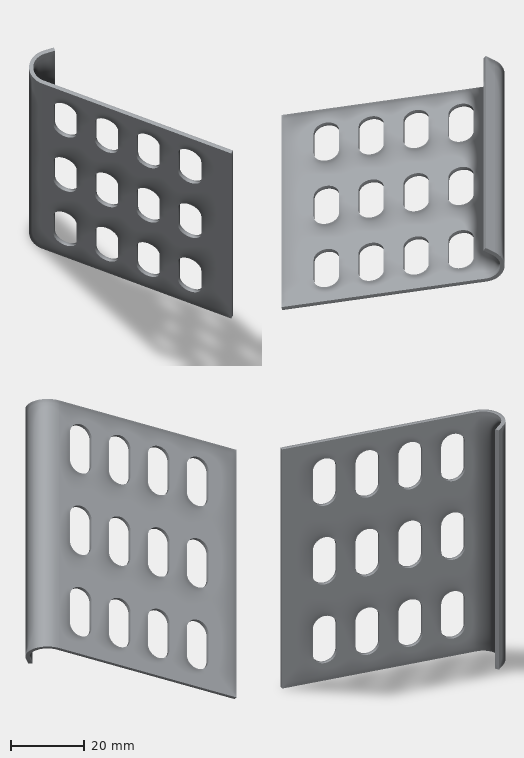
import cadquery as cq
import math

width = 63.0
height = 76
thickness = 1.15

bend_outer_radius = 6.1
bend_inner_radius = bend_outer_radius - thickness
lip_length = 3.0
lip_angle = 45
bend_end_angle = 180 - lip_angle

columns = 4
rows = 3
row_pitch = 25.0
column_pitch = row_pitch / 2
slot_length = 15.0
slot_width = 7.0
first_column_x = 13.0


def bend_point(radius, rolled_angle):
    """Point on the bend after rolling through an angle from the flat plate."""
    angle = math.radians(270 - rolled_angle)
    return (
        bend_outer_radius + radius * math.cos(angle),
        bend_outer_radius + radius * math.sin(angle),
    )


def lip_tip(radius):
    """Free end of the lip surface tangent to the bend surface of this radius."""
    x, y = bend_point(radius, bend_end_angle)
    direction = math.radians(lip_angle)
    return (x + lip_length * math.cos(direction), y + lip_length * math.sin(direction))


def hooked_sheet():
    """Plate, bend and lip as one profile in XY extruded along Z."""
    middle = bend_end_angle / 2
    outer = bend_outer_radius
    inner = bend_inner_radius
    return (
        cq.Workplane("XY")
        .moveTo(width, 0)
        .lineTo(*bend_point(outer, 0))
        .threePointArc(bend_point(outer, middle), bend_point(outer, bend_end_angle))
        .lineTo(*lip_tip(outer))
        .lineTo(*lip_tip(inner))
        .lineTo(*bend_point(inner, bend_end_angle))
        .threePointArc(bend_point(inner, middle), bend_point(inner, 0))
        .lineTo(width, thickness)
        .close()
        .extrude(height)
    )


def slot_cutters():
    """Grid of upright slots through the flat plate, centred on its height."""
    grid_center_x = first_column_x + (columns - 1) * column_pitch / 2
    return (
        cq.Workplane("XZ", origin=(grid_center_x, 0, height / 2))
        .rarray(column_pitch, row_pitch, columns, rows)
        .slot2D(slot_length, slot_width, 90)
        .extrude(thickness, both=True)
    )


result = hooked_sheet().cut(slot_cutters())